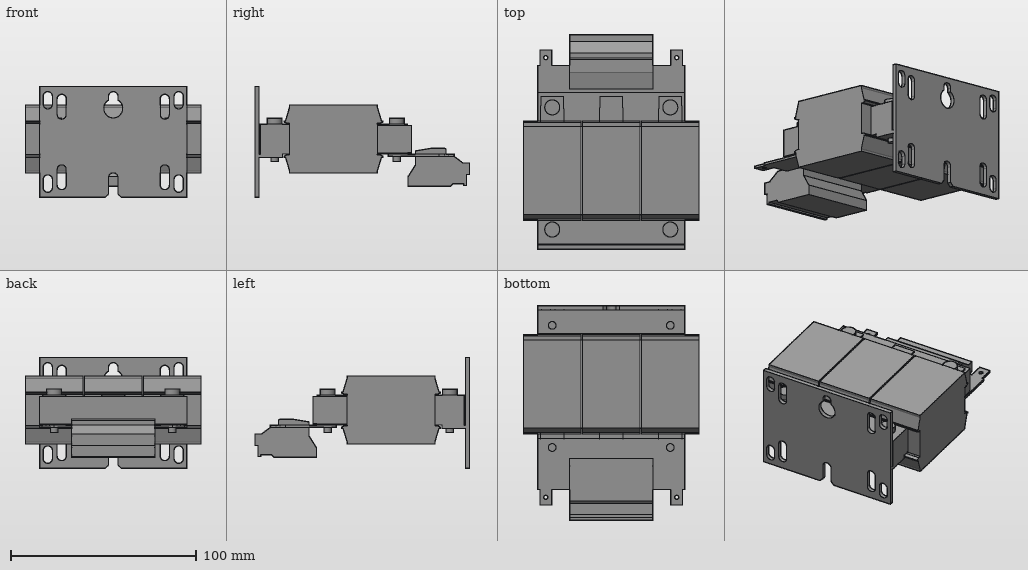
import cadquery as cq


PLATE_WIDTH = 79.7
PLATE_HEIGHT = 60.0
PLATE_TOP = 28.4
PLATE_THICKNESS = 2.3
PLATE_BOTTOM = PLATE_TOP - PLATE_HEIGHT
PLATE_MIDDLE = (PLATE_TOP + PLATE_BOTTOM) / 2
FLANGE_END = 15.0
FLANGE_THICKNESS = 1.9

SLOT_WIDTH = 4.9
OUTER_SLOT_X, OUTER_SLOT_RISE, OUTER_SLOT_LENGTH = 35.4, 22.5, 9.3
INNER_SLOT_X, INNER_SLOT_RISE, INNER_SLOT_LENGTH = 27.9, 19.0, 13.3
HANGING_SLOT_WIDTH = 5.1
KEYHOLE_DIAMETER = 10.2
KEYHOLE_CENTRE_RISE = 18.1
KEYHOLE_TOP_RISE = 27.2
NOTCH_DEPTH = 13.2
NOTCH_CHAMFER = 1.9

CORE_FRONT = 2.8
CORE_REAR = 84.7
CORE_HALF_HEIGHT = 7.4
SHEET_THICKNESS = 0.7
SHEET_Z = CORE_HALF_HEIGHT + SHEET_THICKNESS
TONGUE_END = 82.5
TONGUE_BASE_WIDTH = 12.9
TONGUE_TIP_WIDTH = 12.2

COIL_COUNT = 3
COILS_WIDTH = 95.0
COIL_GAP = 0.7
COIL_WIDTH = (COILS_WIDTH - (COIL_COUNT - 1) * COIL_GAP) / COIL_COUNT
COIL_PITCH = COIL_WIDTH + COIL_GAP
COIL_FRONT = 18.7
COIL_REAR = 66.3
COIL_HALF_HEIGHT = 18.5
COIL_SHOULDER_Z = 17.2
LIP_TOP_Z = 9.9
LIP_BOTTOM_Z = 9.3
LIP_ROOT_Z = 8.5
SLOPE_OVERHANG = 2.2
LIP_OVERHANG = 3.0
LIP_ROOT_OVERHANG = 1.4

SCREW_X = 31.9
SCREW_Y = (10.7, 76.7)
HEAD_DIAMETER = 8.1
HEAD_TOP = 11.4
SHANK_DIAMETER = 4.2
SHANK_BOTTOM = -12.2

CARRIER_FRONT = 72.0
CARRIER_REAR = 99.5
CARRIER_THICKNESS = 1.3
CARRIER_TOP = -SHEET_Z
CARRIER_BOTTOM = CARRIER_TOP - CARRIER_THICKNESS
TAB_X = 35.4
TAB_WIDTH = 6.5
TAB_END = 107.8
TAB_HOLE_Y = 103.6
TAB_HOLE_DIAMETER = 2.1

BLOCK_WIDTH = 44.9
BLOCK_OUTLINE = [
    (116.0, -12.9),
    (112.5, -12.9),
    (106.1, CARRIER_TOP),
    (103.4, CARRIER_TOP),
    (103.4, -5.6),
    (102.6, -4.9),
    (95.5, -4.9),
    (86.7, -6.4),
    (86.7, -14.2),
    (82.7, -20.3),
    (82.7, -25.6),
    (105.7, -25.6),
    (107.0, -24.3),
    (112.8, -24.3),
    (112.8, -25.2),
    (114.4, -25.2),
    (114.4, -19.3),
    (116.0, -19.3),
]


def box(x_range, y_range, z_range):
    """Box spanning the given (low, high) ranges."""
    spans = (x_range, y_range, z_range)
    size = [high - low for low, high in spans]
    corner = [low for low, high in spans]
    return cq.Workplane("XY").box(*size, centered=False).translate(tuple(corner))


def centred_box(width, y_range, z_range):
    """Box symmetric about X = 0."""
    return box((-width / 2, width / 2), y_range, z_range)


def side_extrusion(corners, width, x_centre=0):
    """Closed (Y, Z) outline extruded along X about x_centre."""
    solid = cq.Workplane("YZ").polyline(corners).close().extrude(width / 2, both=True)
    return solid.translate((x_centre, 0, 0))


def cylinder(diameter, x, y, z_low, z_high):
    """Upright cylinder."""
    base = cq.Workplane("XY", origin=(x, y, z_low))
    return base.circle(diameter / 2).extrude(z_high - z_low)


def plate_plane():
    """Sketch plane on the plate's front face: local x = X, local y = height from the middle."""
    return cq.Workplane("XZ", origin=(0, 0, PLATE_MIDDLE))


def through_plate(sketch):
    """Cutter made from a closed outline on the plate plane."""
    return sketch.extrude(-PLATE_THICKNESS)


def slot_cutter(x, rise, length, width):
    """Upright slot with round ends."""
    return through_plate(plate_plane().center(x, rise).slot2D(length, width, 90))


def keyhole_cutter():
    """Hanging hole: a round opening with a narrower slot running up from its centre."""
    slot_bottom = KEYHOLE_CENTRE_RISE - HANGING_SLOT_WIDTH / 2
    slot_length = KEYHOLE_TOP_RISE - slot_bottom
    slot = slot_cutter(0, slot_bottom + slot_length / 2, slot_length, HANGING_SLOT_WIDTH)
    opening = plate_plane().center(0, KEYHOLE_CENTRE_RISE).circle(KEYHOLE_DIAMETER / 2)
    return slot.union(through_plate(opening))


def notch_cutter():
    """Round-topped notch open at the bottom edge, its mouth corners chamfered."""
    half = HANGING_SLOT_WIDTH / 2
    bottom = -PLATE_HEIGHT / 2
    arc_base = bottom + NOTCH_DEPTH - half
    mouth_half = half + NOTCH_CHAMFER
    mouth_top = bottom + NOTCH_CHAMFER
    outline = (
        plate_plane()
        .moveTo(-mouth_half, bottom)
        .lineTo(-half, mouth_top)
        .lineTo(-half, arc_base)
        .threePointArc((0, arc_base + half), (half, arc_base))
        .lineTo(half, mouth_top)
        .lineTo(mouth_half, bottom)
        .close()
    )
    return through_plate(outline)


def mounting_plate():
    """Upright plate with slots, keyhole and notch, plus the flange below the core."""
    plate = centred_box(PLATE_WIDTH, (0, PLATE_THICKNESS), (PLATE_BOTTOM, PLATE_TOP))
    for side in (-1, 1):
        for end in (-1, 1):
            plate = plate.cut(
                slot_cutter(side * OUTER_SLOT_X, end * OUTER_SLOT_RISE, OUTER_SLOT_LENGTH, SLOT_WIDTH)
            )
            plate = plate.cut(
                slot_cutter(side * INNER_SLOT_X, end * INNER_SLOT_RISE, INNER_SLOT_LENGTH, SLOT_WIDTH)
            )
    plate = plate.cut(keyhole_cutter()).cut(notch_cutter())
    flange_z = (-SHEET_Z - FLANGE_THICKNESS, -SHEET_Z)
    return plate.union(centred_box(PLATE_WIDTH, (0, FLANGE_END), flange_z))


def coil_centres():
    """X positions of the coils, which are also those of the tongues."""
    return [(i - (COIL_COUNT - 1) / 2) * COIL_PITCH for i in range(COIL_COUNT)]


def core():
    """Front and rear yokes; the front one with full-width sheets, the rear one with tongues."""
    core_z = (-CORE_HALF_HEIGHT, CORE_HALF_HEIGHT)
    front_yoke = centred_box(PLATE_WIDTH, (CORE_FRONT, COIL_FRONT), (-SHEET_Z, SHEET_Z))
    rear_yoke = centred_box(PLATE_WIDTH, (COIL_REAR, CORE_REAR), core_z)
    body = front_yoke.union(rear_yoke)
    for x in coil_centres():
        tongue = (
            cq.Workplane("XY", origin=(x, 0, -SHEET_Z))
            .moveTo(-TONGUE_BASE_WIDTH / 2, COIL_REAR)
            .lineTo(TONGUE_BASE_WIDTH / 2, COIL_REAR)
            .lineTo(TONGUE_TIP_WIDTH / 2, TONGUE_END)
            .lineTo(-TONGUE_TIP_WIDTH / 2, TONGUE_END)
            .close()
            .extrude(2 * SHEET_Z)
        )
        body = body.union(tongue)
    return body


def coil(x):
    """One coil: a block whose ends slope out to small lips above and below the yokes."""
    quarter = [
        (0, COIL_HALF_HEIGHT),
        (0, COIL_SHOULDER_Z),
        (SLOPE_OVERHANG, LIP_TOP_Z),
        (LIP_OVERHANG, LIP_TOP_Z),
        (LIP_OVERHANG, LIP_BOTTOM_Z),
        (LIP_ROOT_OVERHANG, LIP_ROOT_Z),
        (0, LIP_ROOT_Z),
    ]
    front_upper = [(COIL_FRONT - out, z) for out, z in quarter]
    rear_upper = [(COIL_REAR + out, z) for out, z in quarter]
    front = front_upper + [(y, -z) for y, z in reversed(front_upper)]
    rear = rear_upper + [(y, -z) for y, z in reversed(rear_upper)]
    return side_extrusion(front + rear[::-1], COIL_WIDTH, x)


def screw(x, y):
    """Clamping screw through the core: head on top, shank end showing below."""
    head = cylinder(HEAD_DIAMETER, x, y, CORE_HALF_HEIGHT, HEAD_TOP)
    shank = cylinder(SHANK_DIAMETER, x, y, SHANK_BOTTOM, CORE_HALF_HEIGHT)
    return head.union(shank)


def terminal_carrier():
    """Thin plate below the rear yoke with a drilled tab at each rear corner."""
    carrier_z = (CARRIER_BOTTOM, CARRIER_TOP)
    carrier = centred_box(PLATE_WIDTH, (CARRIER_FRONT, CARRIER_REAR), carrier_z)
    for x in (-TAB_X, TAB_X):
        tab_x = (x - TAB_WIDTH / 2, x + TAB_WIDTH / 2)
        carrier = carrier.union(box(tab_x, (CARRIER_FRONT, TAB_END), carrier_z))
        carrier = carrier.cut(cylinder(TAB_HOLE_DIAMETER, x, TAB_HOLE_Y, *carrier_z))
    return carrier


result = mounting_plate().union(core())
for coil_x in coil_centres():
    result = result.union(coil(coil_x))
for screw_x in (-SCREW_X, SCREW_X):
    for screw_y in SCREW_Y:
        result = result.union(screw(screw_x, screw_y))
result = result.union(terminal_carrier())
result = result.union(side_extrusion(BLOCK_OUTLINE, BLOCK_WIDTH))